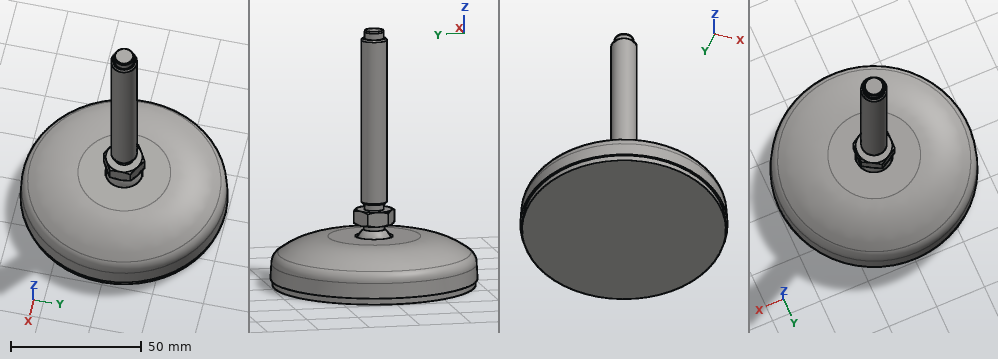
import cadquery as cq
import math

rim_height = 2.5
rim_diameter = 78.2
wall_bottom_diameter = 79.66
wall_top_diameter = 79.0
wall_top_z = 8.5
shoulder_diameter = 74.2
shoulder_top_z = 12.7
shoulder_radius = 5.0
flat_top_diameter = 35.6
plate_height = 19.1

ball_diameter = 13.8
ball_center_z = 16.1
socket_diameter = 14.4

hex_across_flats = 14.0
hex_bottom_z = 23.9
hex_height = 5.7
hex_turn = 30.0
hex_chamfer_angle = 30.0

total_height = 99.7
lower_neck_diameter = 8.06
upper_neck_diameter = 7.5
stud_diameter = 10.0
stud_bottom_z = 31.9
stud_chamfer = 0.7
tip_diameter = 7.5
tip_length = 3.2
tip_chamfer_height = 0.7
tip_chamfer_width = 0.3

hex_top_z = hex_bottom_z + hex_height
stud_top_z = total_height - tip_length


def cylinder(diameter, bottom_z, top_z):
    """Upright cylinder on the Z axis."""
    return cq.Workplane("XY").workplane(offset=bottom_z).circle(diameter / 2).extrude(top_z - bottom_z)


def tangent_dome_midpoint(top, end):
    """Middle of the arc that leaves `top` horizontally and reaches `end`."""
    run = end[0] - top[0]
    drop = top[1] - end[1]
    radius = (run**2 + drop**2) / (2 * drop)
    half_sweep = math.atan2(drop, run)
    return (top[0] + radius * math.sin(half_sweep), top[1] - radius * (1 - math.cos(half_sweep)))


def bulge_midpoint(start, end, radius):
    """Middle of an arc of the given radius, bulging to the right of start -> end."""
    dx = end[0] - start[0]
    dz = end[1] - start[1]
    chord = math.hypot(dx, dz)
    rise = radius - math.sqrt(radius**2 - (chord / 2)**2)
    return ((start[0] + end[0]) / 2 + rise * dz / chord, (start[1] + end[1]) / 2 - rise * dx / chord)


def make_plate():
    """Domed plate with a slightly tapered wall on a recessed rim and a round socket on top."""
    wall_top = (wall_top_diameter / 2, wall_top_z)
    shoulder_top = (shoulder_diameter / 2, shoulder_top_z)
    dome_top = (flat_top_diameter / 2, plate_height)
    plate = (
        cq.Workplane("XZ")
        .lineTo(rim_diameter / 2, 0)
        .lineTo(rim_diameter / 2, rim_height)
        .lineTo(wall_bottom_diameter / 2, rim_height)
        .lineTo(*wall_top)
        .threePointArc(bulge_midpoint(wall_top, shoulder_top, shoulder_radius), shoulder_top)
        .threePointArc(tangent_dome_midpoint(dome_top, shoulder_top), dome_top)
        .lineTo(0, plate_height)
        .close()
        .revolve(axisStart=(0, 0, 0), axisEnd=(0, 1, 0))
    )
    return plate.cut(cylinder(socket_diameter, ball_center_z, plate_height))


def make_ball():
    """Ball seated in the plate socket."""
    return cq.Workplane("XY").sphere(ball_diameter / 2).translate((0, 0, ball_center_z))


def make_hexagon():
    """Hexagon with flats facing +X and -X and its corners chamfered at both ends."""
    corner_radius = hex_across_flats / math.sqrt(3)
    flat_radius = hex_across_flats / 2
    chamfer_drop = (corner_radius - flat_radius) * math.tan(math.radians(hex_chamfer_angle))
    prism = (
        cq.Workplane("XY")
        .workplane(offset=hex_bottom_z)
        .polygon(6, 2 * corner_radius)
        .extrude(hex_height)
        .rotate((0, 0, 0), (0, 0, 1), hex_turn)
    )
    chamfer_envelope = (
        cq.Workplane("XZ")
        .moveTo(0, hex_bottom_z)
        .lineTo(flat_radius, hex_bottom_z)
        .lineTo(corner_radius, hex_bottom_z + chamfer_drop)
        .lineTo(corner_radius, hex_top_z - chamfer_drop)
        .lineTo(flat_radius, hex_top_z)
        .lineTo(0, hex_top_z)
        .close()
        .revolve(axisStart=(0, 0, 0), axisEnd=(0, 1, 0))
    )
    return prism.intersect(chamfer_envelope)


def make_stud():
    """Necks, chamfered main shank and reduced tip."""
    lower_neck = cylinder(lower_neck_diameter, ball_center_z, hex_bottom_z)
    upper_neck = cylinder(upper_neck_diameter, hex_top_z, stud_bottom_z)
    shank = cylinder(stud_diameter, stud_bottom_z, stud_top_z).faces("|Z").edges().chamfer(stud_chamfer)
    tip = (
        cylinder(tip_diameter, stud_top_z, total_height)
        .faces(">Z").edges()
        .chamfer(tip_chamfer_height, tip_chamfer_width)
    )
    return lower_neck.union(upper_neck).union(shank).union(tip)


result = make_plate().union(make_ball()).union(make_hexagon()).union(make_stud())